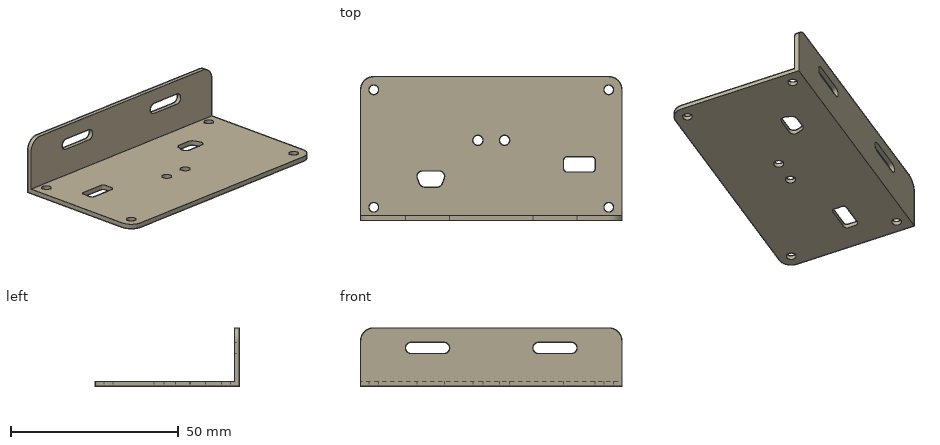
import cadquery as cq
import math

length = 78.0
depth = 43.0
height = 17.5
thickness = 1.5
corner_radius = 4.0

mount_diameter = 2.8
mount_inset = corner_radius
center_diameter = 3.0
center_spacing = 7.95
center_y = 23.95

window_length = 9.35
window_width = 4.5
window_radius = 1.0
window_x = 26.3
window_y = 16.8

connector_top_half = 4.75
connector_width = 4.75
connector_angle = 20.0
connector_radius = 1.55
connector_x = -18.0
connector_y = 12.4

slot_length = 13.1
slot_width = 3.3
slot_spacing = 38.0
slot_z = 11.5


def make_base():
    base = cq.Workplane("XY").box(length, depth, thickness, centered=(True, False, False))
    return base.edges("|Z and >Y").fillet(corner_radius)


def make_wall():
    wall = cq.Workplane("XY").box(length, thickness, height, centered=(True, False, False))
    return wall.edges("|Y and >Z").fillet(corner_radius)


def round_cutters(points, diameter):
    return cq.Workplane("XY").pushPoints(points).circle(diameter / 2).extrude(thickness)


def window_cutter():
    return (
        cq.Workplane("XY")
        .center(window_x, window_y)
        .rect(window_length, window_width)
        .extrude(thickness)
        .edges("|Z")
        .fillet(window_radius)
    )


def connector_cutter():
    half_width = connector_width / 2
    bottom_half = connector_top_half - connector_width * math.tan(math.radians(connector_angle))
    outline = [
        (-connector_top_half, half_width),
        (connector_top_half, half_width),
        (bottom_half, -half_width),
        (-bottom_half, -half_width),
    ]
    return (
        cq.Workplane("XY")
        .center(connector_x, connector_y)
        .polyline(outline)
        .close()
        .extrude(thickness)
        .edges("|Z")
        .fillet(connector_radius)
    )


def slot_cutters():
    return (
        cq.Workplane("XZ")
        .pushPoints([(side * slot_spacing / 2, slot_z) for side in (-1, 1)])
        .slot2D(slot_length, slot_width)
        .extrude(-thickness)
    )


mount_x = length / 2 - mount_inset
mount_points = [(side * mount_x, y) for side in (-1, 1) for y in (mount_inset, depth - mount_inset)]
center_points = [(side * center_spacing / 2, center_y) for side in (-1, 1)]

result = (
    make_base()
    .union(make_wall())
    .cut(round_cutters(mount_points, mount_diameter))
    .cut(round_cutters(center_points, center_diameter))
    .cut(window_cutter())
    .cut(connector_cutter())
    .cut(slot_cutters())
)